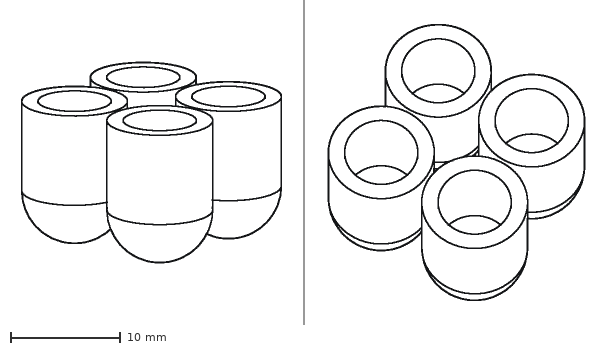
import cadquery as cq
import math

overall_width = 19.7
outer_diameter = 9.7
bore_diameter = 6.7
overall_height = 13.35
cone_point_angle = 118.0

outer_radius = outer_diameter / 2
bore_radius = bore_diameter / 2
sleeve_height = overall_height - outer_radius
cone_depth = bore_radius / math.tan(math.radians(cone_point_angle / 2))
pitch = overall_width - outer_diameter
side_positions = (-pitch / 2, pitch / 2)


def make_sleeve(x, y):
    """Straight tube standing on the dome's flat face at Z = 0."""
    sleeve = cq.Workplane("XY").circle(outer_radius).circle(bore_radius).extrude(sleeve_height)
    return sleeve.translate((x, y, 0))


def make_dome(x, y):
    """Hemisphere below Z = 0 with a conical recess that closes the bore."""
    dome = (
        cq.Workplane("XZ")
        .moveTo(bore_radius, 0)
        .lineTo(outer_radius, 0)
        .radiusArc((0, -outer_radius), outer_radius)
        .lineTo(0, -cone_depth)
        .close()
        .revolve(360, (0, 0, 0), (0, 1, 0))
    )
    return dome.translate((x, y, 0))


bodies = []
for x in side_positions:
    for y in side_positions:
        bodies.append(make_sleeve(x, y).val())
        bodies.append(make_dome(x, y).val())

result = cq.Compound.makeCompound(bodies)